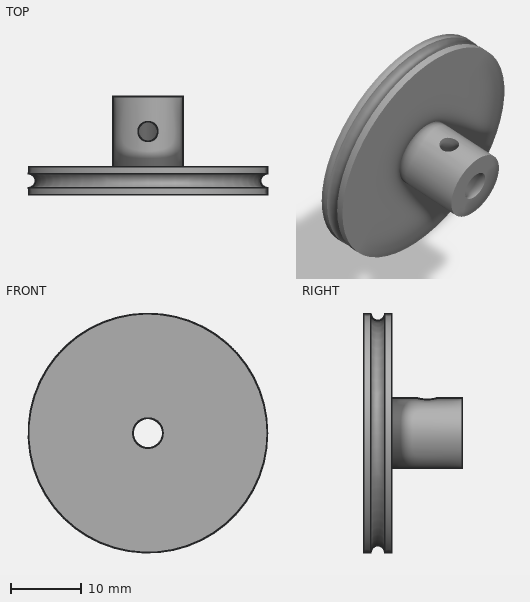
import cadquery as cq

pulley_diameter = 34.0
disc_thickness = 4.0
hub_diameter = 10.0
hub_length = 10.0
bore_diameter = 4.2
groove_radius = 1.0
screw_hole_diameter = 2.8

total_length = disc_thickness + hub_length
screw_hole_y = disc_thickness + hub_length / 2


def cylinder_along_y(diameter, start_y, length):
    """Cylinder on the pulley axis, running from start_y towards +Y."""
    start_plane = cq.Plane(origin=(0, start_y, 0), xDir=(1, 0, 0), normal=(0, 1, 0))
    return cq.Workplane(start_plane).circle(diameter / 2).extrude(length)


def rim_groove():
    """Ring of round section, centred on the middle of the rim."""
    ring = cq.Solid.makeTorus(
        pulley_diameter / 2,
        groove_radius,
        cq.Vector(0, disc_thickness / 2, 0),
        cq.Vector(0, 1, 0),
    )
    return cq.Workplane(ring)


def screw_hole():
    """Radial hole from the axis out through the +Z side of the hub."""
    return (
        cq.Workplane("XY")
        .center(0, screw_hole_y)
        .circle(screw_hole_diameter / 2)
        .extrude(hub_diameter)
    )


disc = cylinder_along_y(pulley_diameter, 0, disc_thickness).cut(rim_groove())
hub = cylinder_along_y(hub_diameter, disc_thickness, hub_length)
bore = cylinder_along_y(bore_diameter, 0, total_length)

result = disc.union(hub).cut(bore).cut(screw_hole())